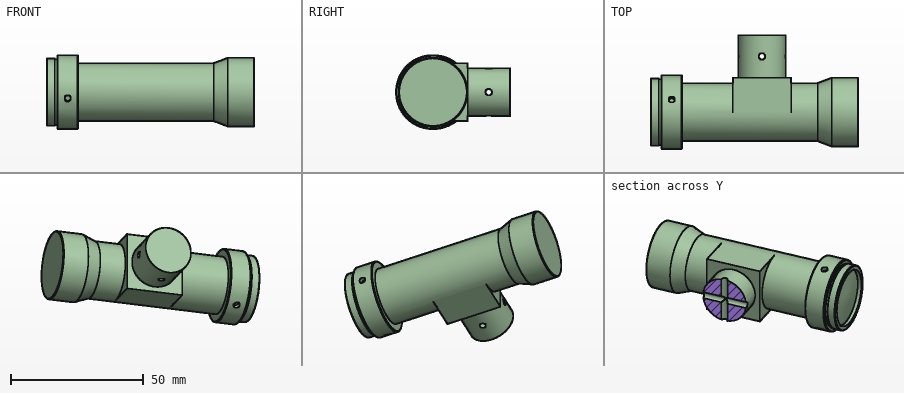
import cadquery as cq
import math

length = 78.4
body_radius = 11.0
bell_radius = 13.0
bell_start = 68.35
flare_start = 62.95
edge_chamfer = 0.3

lip_radius = 12.7
lip_length = 3.1
groove_radius = 12.5
ring_radius = 28.0 / 2
ring_start = 4.0
ring_width = 8.0

recess_radius = 11.0
recess_depth = 1.5
floor_cone_height = 1.0

branch_x = 42.0
overall_depth = 43.0
block_width = 2 * body_radius
block_reach = 13.0
tube_radius = 9.0
tube_reach = overall_depth - ring_radius

hole_radius = 1.2
tube_hole_y = 21.0
ring_hole_depth = 2.0
ring_hole_count = 3
ring_hole_first_angle = 70.0

ring_end = ring_start + ring_width


def make_barrel():
    """Solid of revolution: lip, groove, ring, body, flare and bell, with the front recess."""
    profile = [
        (recess_depth - floor_cone_height, 0),
        (recess_depth, recess_radius),
        (0, recess_radius),
        (0, lip_radius - edge_chamfer),
        (edge_chamfer, lip_radius),
        (lip_length, lip_radius),
        (lip_length, groove_radius),
        (ring_start, groove_radius),
        (ring_start, ring_radius - edge_chamfer),
        (ring_start + edge_chamfer, ring_radius),
        (ring_end - edge_chamfer, ring_radius),
        (ring_end, ring_radius - edge_chamfer),
        (ring_end, body_radius),
        (flare_start, body_radius),
        (bell_start, bell_radius),
        (length - edge_chamfer, bell_radius),
        (length, bell_radius - edge_chamfer),
        (length, 0),
    ]
    return cq.Workplane("XY").polyline(profile).close().revolve(360, (0, 0, 0), (1, 0, 0))


def make_branch():
    """Block from the barrel axis outwards, with the round tube on its outer face."""
    block = cq.Workplane("XY").box(block_width, block_reach, block_width, centered=(True, False, True))
    tube = cq.Workplane("XZ").circle(tube_radius).extrude(-tube_reach)
    return block.union(tube).translate((branch_x, 0, 0))


def make_tube_holes():
    """Two crossing holes through the tube, along X and along Z."""
    span = 2 * tube_radius
    centre = cq.Vector(branch_x, tube_hole_y, 0)
    holes = cq.Workplane("XY")
    for direction in (cq.Vector(1, 0, 0), cq.Vector(0, 0, 1)):
        start = centre - direction * tube_radius
        holes = holes.add(cq.Solid.makeCylinder(hole_radius, span, start, direction))
    return holes.combine()


def make_ring_holes():
    """Blind radial holes spaced evenly round the ring."""
    ring_middle = ring_start + ring_width / 2
    holes = cq.Workplane("XY")
    for index in range(ring_hole_count):
        angle = math.radians(ring_hole_first_angle + index * 360 / ring_hole_count)
        direction = cq.Vector(0, math.cos(angle), math.sin(angle))
        start = cq.Vector(ring_middle, 0, 0) + direction * (ring_radius - ring_hole_depth)
        holes = holes.add(cq.Solid.makeCylinder(hole_radius, ring_radius, start, direction))
    return holes.combine()


result = make_barrel().union(make_branch()).cut(make_tube_holes()).cut(make_ring_holes())